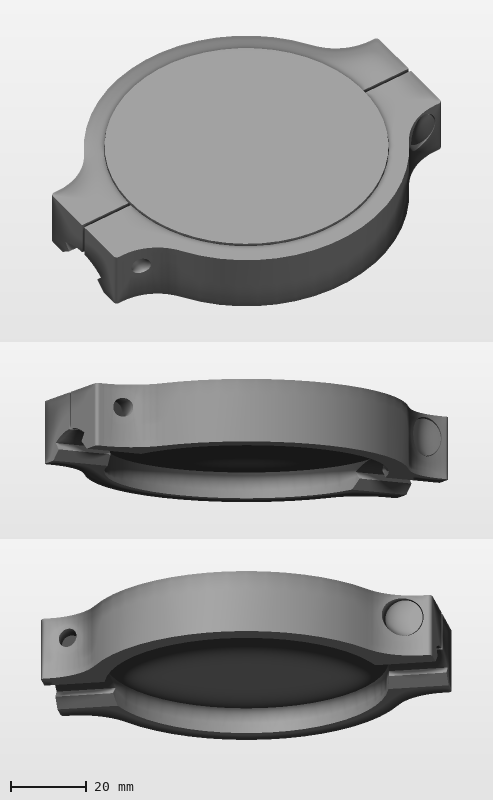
import cadquery as cq
import math

RING_RADIUS = 86.0 / 2
RING_HEIGHT = 16.8
BORE_RADIUS = 37.6
SPLIT_GAP = 1.0

LUG_REACH = 52.5
LUG_HALF_WIDTH = 15.0
LUG_CORNER_RADIUS = 1.0
FLANK_RADIUS = 16.0

NOTCH_MOUTH_HALF_WIDTH = 9.6
NOTCH_NECK_HALF_WIDTH = 6.5
NOTCH_NECK_HEIGHT = 2.5
NOTCH_UNDERCUT_HALF_WIDTH = 8.2
NOTCH_UNDERCUT_HEIGHT = 4.5
NOTCH_CREST_HEIGHT = 6.9

DISC_RADIUS = 37.5
DISC_BOTTOM = NOTCH_CREST_HEIGHT
DISC_TOP = 17.5
RIM_RADIUS = 40.7
RIM_THICKNESS = 4.0

SCREW_OFFSET = 45.0
SCREW_HEIGHT = 10.7
SHANK_RADIUS = 6.0 / 2
HEAD_RADIUS = 10.0 / 2
COUNTERBORE_RADIUS = 10.5 / 2
PILOT_RADIUS = 5.0 / 2
HEAD_LENGTH = 6.0
HEAD_SEAT = LUG_HALF_WIDTH - HEAD_LENGTH
SHANK_TIP = 10.5

CUT_REACH = 2 * RING_RADIUS


def x_cylinder(radius, start, end):
    """Cylinder along +X on the screw axis of the lug at -Y."""
    return (
        cq.Workplane("YZ", origin=(start, -SCREW_OFFSET, SCREW_HEIGHT))
        .circle(radius)
        .extrude(end - start)
    )


def at_lug(shape, turn):
    """Turn a shape made for the lug at -Y about the ring axis."""
    return shape.rotate((0, 0, 0), (0, 0, 1), turn)


def make_lugs():
    """Bar across the ring whose flanks sweep tangentially into the ring's outside."""
    center_x = LUG_HALF_WIDTH + FLANK_RADIUS
    center_distance = RING_RADIUS + FLANK_RADIUS
    center_y = math.sqrt(center_distance**2 - center_x**2)
    tangent_x = center_x * RING_RADIUS / center_distance
    tangent_y = center_y * RING_RADIUS / center_distance
    mid_angle = (math.pi + math.atan2(center_y, center_x) + math.pi) / 2
    mid_x = center_x + FLANK_RADIUS * math.cos(mid_angle)
    mid_y = center_y + FLANK_RADIUS * math.sin(mid_angle)
    corner_x = LUG_HALF_WIDTH - LUG_CORNER_RADIUS
    corner_y = LUG_REACH - LUG_CORNER_RADIUS
    corner_mid = LUG_CORNER_RADIUS * math.sqrt(0.5)
    quarter = (
        cq.Workplane("XY")
        .lineTo(tangent_x, tangent_y)
        .threePointArc((mid_x, mid_y), (LUG_HALF_WIDTH, center_y))
        .lineTo(LUG_HALF_WIDTH, corner_y)
        .threePointArc((corner_x + corner_mid, corner_y + corner_mid), (corner_x, LUG_REACH))
        .lineTo(0, LUG_REACH)
        .close()
        .extrude(RING_HEIGHT)
    )
    lug = quarter.union(quarter.mirror("YZ"))
    return lug.union(lug.mirror("XZ"))


def make_notch():
    return (
        cq.Workplane("XZ")
        .moveTo(-NOTCH_MOUTH_HALF_WIDTH, 0)
        .lineTo(-NOTCH_NECK_HALF_WIDTH, NOTCH_NECK_HEIGHT)
        .lineTo(-NOTCH_UNDERCUT_HALF_WIDTH, NOTCH_UNDERCUT_HEIGHT)
        .threePointArc((0, NOTCH_CREST_HEIGHT), (NOTCH_UNDERCUT_HALF_WIDTH, NOTCH_UNDERCUT_HEIGHT))
        .lineTo(NOTCH_NECK_HALF_WIDTH, NOTCH_NECK_HEIGHT)
        .lineTo(NOTCH_MOUTH_HALF_WIDTH, 0)
        .close()
        .extrude(LUG_REACH, both=True)
    )


def make_screw_hole():
    """Counterbore, shank hole, and a smaller pilot hole through the far flank."""
    counterbore = x_cylinder(COUNTERBORE_RADIUS, -CUT_REACH, -HEAD_SEAT)
    shank_hole = x_cylinder(SHANK_RADIUS, -HEAD_SEAT, SHANK_TIP)
    pilot_hole = x_cylinder(PILOT_RADIUS, SHANK_TIP, CUT_REACH)
    return counterbore.union(shank_hole).union(pilot_hole)


def make_rim():
    """Round plate that fills the groove and carries the rim of the disc."""
    return (
        cq.Workplane("XY", origin=(0, 0, DISC_BOTTOM))
        .circle(RIM_RADIUS)
        .extrude(RIM_THICKNESS)
    )


def make_clamp_half(turn):
    """Half on the -X side, turned about the ring axis into place."""
    body = cq.Workplane("XY").circle(RING_RADIUS).extrude(RING_HEIGHT).union(make_lugs())
    body = body.cut(cq.Workplane("XY").circle(BORE_RADIUS).extrude(RING_HEIGHT))
    body = body.cut(make_rim())
    body = body.cut(make_notch())
    for hole_turn in SCREW_TURNS:
        body = body.cut(at_lug(make_screw_hole(), hole_turn))
    far_side = cq.Workplane("XY").box(
        CUT_REACH, 2 * LUG_REACH, RING_HEIGHT, centered=(False, True, False)
    )
    body = body.cut(far_side.translate((-SPLIT_GAP / 2, 0, 0)))
    return at_lug(body, turn)


def make_disc():
    plate = (
        cq.Workplane("XY", origin=(0, 0, DISC_BOTTOM))
        .circle(DISC_RADIUS)
        .extrude(DISC_TOP - DISC_BOTTOM)
    )
    return plate.union(make_rim())


def make_screw(turn):
    head = x_cylinder(HEAD_RADIUS, -HEAD_SEAT - HEAD_LENGTH, -HEAD_SEAT)
    shank = x_cylinder(SHANK_RADIUS, -HEAD_SEAT, SHANK_TIP)
    return at_lug(head.union(shank), turn)


SCREW_TURNS = (0, 180)
HALF_TURNS = (0, 180)

clamp_halves = [make_clamp_half(turn).val() for turn in HALF_TURNS]
disc = make_disc()
screws = [make_screw(turn).val() for turn in SCREW_TURNS]

result = cq.Compound.makeCompound([*clamp_halves, disc.val(), *screws])